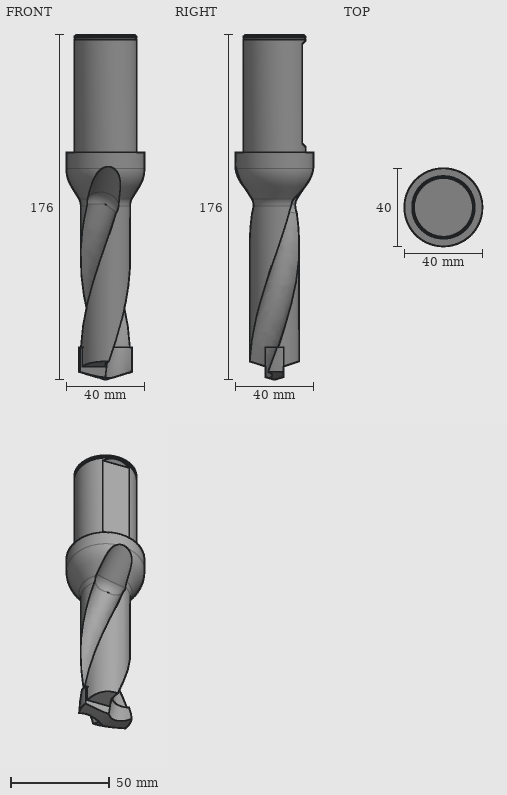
import cadquery as cq
import math

TOTAL_LENGTH = 176.0

SHANK_RADIUS = 16.0
TOP_CHAMFER = 1.0
GROOVE_TOP = 174.6
GROOVE_WIDTH = 1.2
GROOVE_DEPTH = 0.4
FLAT_OFFSET = 14.3
FLAT_BOTTOM = 118.8
FLAT_TOP = 173.0

COLLAR_RADIUS = 40.0 / 2
COLLAR_TOP = 116.0
COLLAR_BOTTOM = 107.9
TAPER_ANGLE = 27.4
TAPER_BOTTOM = 92.4
NECK_BOTTOM = 88.9

BODY_RADIUS = 12.7
BODY_RIDGE = 5.3
END_FACE_SLOPE = 0.33

FLUTE_COUNT = 2
FLUTE_RADIUS = 8.3
FLUTE_OFFSET = 11.6
FLUTE_START = -3.5
FLUTE_END = 89.8
FLUTE_END_ANGLE = 263.0
TWIST_PER_UNIT = 1.562
RUNOUT_RISE = 42.0
RUNOUT_TURN = 20.0
RUNOUT_LENGTH = 52.8

INSERT_RADIUS = 27.3 / 2
INSERT_THICKNESS = 9.3
INSERT_TOP = 16.5
POINT_SLOPE = 0.3


def turned_profile():
    """Holder revolved about Z, with a taper that runs smoothly from the collar to the neck."""
    half_turn = math.tan(math.radians(TAPER_ANGLE / 2))
    taper_slope = math.tan(math.radians(TAPER_ANGLE))
    taper_bottom_radius = BODY_RADIUS + (TAPER_BOTTOM - NECK_BOTTOM) * half_turn
    return (
        cq.Workplane("XZ")
        .moveTo(0, TOTAL_LENGTH)
        .lineTo(SHANK_RADIUS - TOP_CHAMFER, TOTAL_LENGTH)
        .lineTo(SHANK_RADIUS, TOTAL_LENGTH - TOP_CHAMFER)
        .lineTo(SHANK_RADIUS, COLLAR_TOP)
        .lineTo(COLLAR_RADIUS, COLLAR_TOP)
        .lineTo(COLLAR_RADIUS, COLLAR_BOTTOM)
        .spline(
            [(taper_bottom_radius, TAPER_BOTTOM)],
            tangents=[(0, -1), (-taper_slope, -1)],
            includeCurrent=True,
        )
        .tangentArcPoint((BODY_RADIUS, NECK_BOTTOM), relative=False)
        .lineTo(BODY_RADIUS, BODY_RIDGE)
        .lineTo(0, BODY_RIDGE)
        .close()
        .revolve(360, (0, 0, 0), (0, 1, 0))
    )


def shank_groove():
    """Shallow ring groove under the top chamfer."""
    return (
        cq.Workplane("XY", origin=(0, 0, GROOVE_TOP - GROOVE_WIDTH))
        .circle(COLLAR_RADIUS)
        .circle(SHANK_RADIUS - GROOVE_DEPTH)
        .extrude(GROOVE_WIDTH)
    )


def shank_flat():
    """Cutter for the clamping flat, with 45 degree ramps at both ends."""
    ramp = SHANK_RADIUS - FLAT_OFFSET
    return (
        cq.Workplane("YZ")
        .polyline([
            (FLAT_OFFSET, FLAT_BOTTOM + ramp),
            (SHANK_RADIUS, FLAT_BOTTOM),
            (SHANK_RADIUS, FLAT_TOP),
            (FLAT_OFFSET, FLAT_TOP - ramp),
        ])
        .close()
        .extrude(SHANK_RADIUS, both=True)
    )


def flute_cutters():
    """Helical round flute, rounded at its top, with a straight runout through the taper."""
    length = FLUTE_END - FLUTE_START
    twist = length * TWIST_PER_UNIT
    helix = (
        cq.Workplane("XY", origin=(0, 0, FLUTE_START))
        .pushPoints([(FLUTE_OFFSET, 0)])
        .circle(FLUTE_RADIUS)
        .twistExtrude(length, twist)
        .rotate((0, 0, 0), (0, 0, 1), FLUTE_END_ANGLE - twist)
    )
    end_angle = math.radians(FLUTE_END_ANGLE)
    end_center = cq.Vector(
        FLUTE_OFFSET * math.cos(end_angle), FLUTE_OFFSET * math.sin(end_angle), FLUTE_END
    )
    rise = math.radians(RUNOUT_RISE)
    heading = math.radians(FLUTE_END_ANGLE + RUNOUT_TURN)
    direction = cq.Vector(
        math.cos(rise) * math.cos(heading), math.cos(rise) * math.sin(heading), math.sin(rise)
    )
    ball = cq.Workplane("XY").sphere(FLUTE_RADIUS).translate(end_center)
    runout = cq.Solid.makeCylinder(FLUTE_RADIUS, RUNOUT_LENGTH, end_center, direction)
    return [helix, ball, cq.Workplane(obj=runout)]


def cut_flutes(body):
    """Cut the evenly spaced flutes from a body."""
    for index in range(FLUTE_COUNT):
        for cutter in flute_cutters():
            body = body.cut(cutter.rotate((0, 0, 0), (0, 0, 1), index * 360 / FLUTE_COUNT))
    return body


def insert_plate():
    """Rectangular plate that is both the insert's stock and its slot in the holder."""
    return cq.Workplane("XY").box(
        2 * INSERT_RADIUS, INSERT_THICKNESS, INSERT_TOP, centered=(True, True, False)
    )


def insert_blank():
    """Pointed plate across the drill axis, before the flutes are cut."""
    turned = (
        cq.Workplane("XZ")
        .polyline([
            (0, 0),
            (INSERT_RADIUS, INSERT_RADIUS * POINT_SLOPE),
            (INSERT_RADIUS, INSERT_TOP),
            (0, INSERT_TOP),
        ])
        .close()
        .revolve(360, (0, 0, 0), (0, 1, 0))
    )
    return turned.intersect(insert_plate())


def end_relief():
    """Cutter that leaves two sloping end faces meeting in a ridge along X."""
    rise = BODY_RADIUS * END_FACE_SLOPE
    return (
        cq.Workplane("YZ")
        .polyline([(0, BODY_RIDGE), (BODY_RADIUS, BODY_RIDGE + rise), (BODY_RADIUS, BODY_RIDGE)])
        .close()
        .extrude(BODY_RADIUS, both=True)
        .mirror("XZ", union=True)
    )


holder = turned_profile()
for cutter in (shank_groove(), shank_flat(), end_relief(), insert_plate()):
    holder = holder.cut(cutter)
holder = cut_flutes(holder)
insert = cut_flutes(insert_blank())

result = cq.Compound.makeCompound([holder.val(), insert.val()])